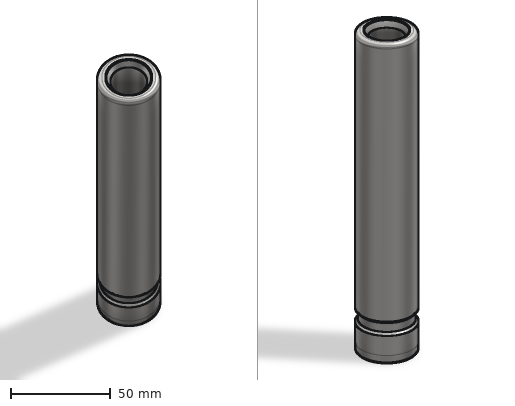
import cadquery as cq
import math

length = 180.0
body_radius = 16.0
top_round = 2.5

groove_bottom = 16.0
groove_width = 8.0
groove_depth = 1.5

lead_height = 5.0
lead_radius = 15.9
foot_chamfer_height = 1.0
foot_radius = 15.0

bore_radius = 9.25
bore_depth = 100.0
drill_point_angle = 118.0
mouth_radius = 11.75
mouth_step_radius = 11.25
mouth_step_depth = 0.25
countersink_depth = 3.5


def make_body():
    """Revolve the outer half-profile of the pin about Z."""
    groove_top = groove_bottom + groove_width
    groove_radius = body_radius - groove_depth
    round_shift = top_round * math.sqrt(0.5)
    round_middle = (
        body_radius - top_round + round_shift,
        length - top_round + round_shift,
    )
    profile = (
        cq.Workplane("XZ")
        .lineTo(foot_radius, 0)
        .lineTo(lead_radius, foot_chamfer_height)
        .lineTo(body_radius, lead_height)
        .lineTo(body_radius, groove_bottom)
        .lineTo(groove_radius, groove_bottom + groove_depth)
        .lineTo(groove_radius, groove_top - groove_depth)
        .lineTo(body_radius, groove_top)
        .lineTo(body_radius, length - top_round)
        .threePointArc(round_middle, (body_radius - top_round, length))
        .lineTo(0, length)
        .close()
    )
    return profile.revolve(360, (0, 0, 0), (0, 1, 0))


def make_bore():
    """Revolve the blind bore: stepped mouth, countersink, bore and drill point."""
    bore_floor = length - bore_depth
    point_height = bore_radius / math.tan(math.radians(drill_point_angle / 2))
    profile = (
        cq.Workplane("XZ")
        .moveTo(0, length)
        .lineTo(mouth_radius, length)
        .lineTo(mouth_step_radius, length - mouth_step_depth)
        .lineTo(bore_radius, length - countersink_depth)
        .lineTo(bore_radius, bore_floor)
        .lineTo(0, bore_floor - point_height)
        .close()
    )
    return profile.revolve(360, (0, 0, 0), (0, 1, 0))


result = make_body().cut(make_bore())